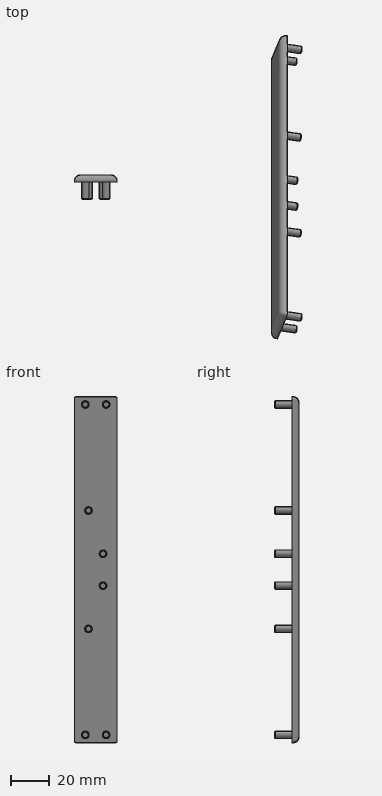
import cadquery as cq

plate_width = 22.3
plate_height = 179.8
plate_thickness = 3.8
edge_radius = 3.2
corner_radius = 1.3

pin_diameter = 4.0
pin_length = 9.0
pin_tip_chamfer = 0.5

end_pin_x = 5.4
end_pin_z = 85.8
middle_pin_x = 3.8
outer_middle_pin_z = 30.7
inner_middle_pin_z = 8.3


def make_plate():
    """Plate with a rounded back rim and softened corners."""
    blank = cq.Workplane("XY").box(
        plate_width, plate_thickness, plate_height, centered=(True, False, True)
    )
    domed_plate = blank.faces(">Y").edges().fillet(edge_radius)
    return domed_plate.edges("|Y").fillet(corner_radius)


def make_pin(x, z):
    """Round pin with a chamfered tip, rooted on the front face."""
    pin = cq.Workplane("XZ").center(x, z).circle(pin_diameter / 2).extrude(pin_length)
    return pin.faces("<Y").edges().chamfer(pin_tip_chamfer)


result = make_plate()
for side in (-1, 1):
    result = result.union(make_pin(-end_pin_x, side * end_pin_z))
    result = result.union(make_pin(end_pin_x, side * end_pin_z))
    result = result.union(make_pin(-middle_pin_x, side * outer_middle_pin_z))
    result = result.union(make_pin(middle_pin_x, side * inner_middle_pin_z))